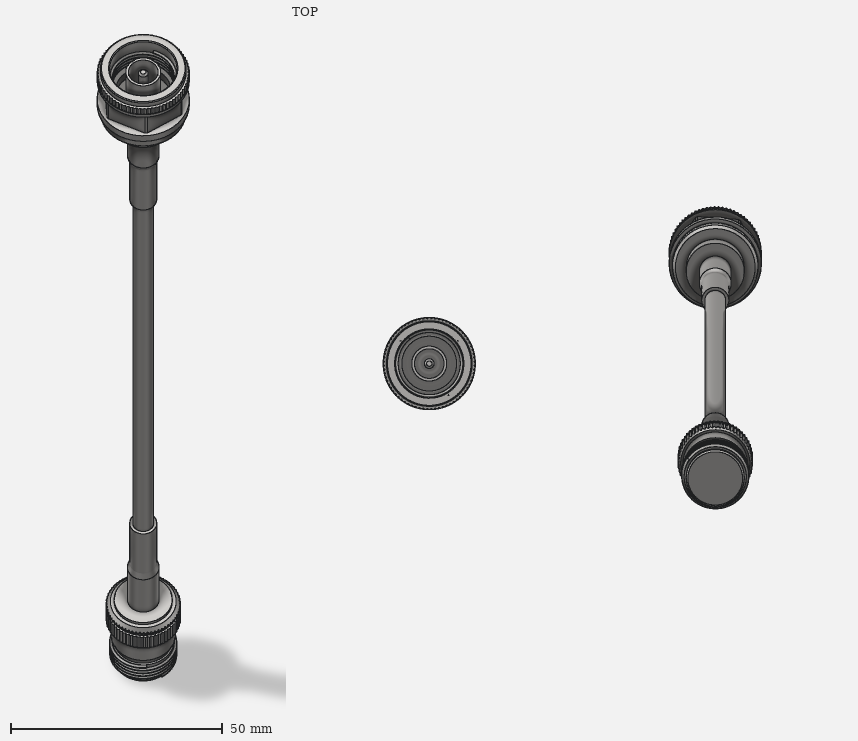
import cadquery as cq
import math

overall_length = 232.49
top_z = overall_length / 2
bottom_z = -overall_length / 2

cable_dia = 4.95

ferrule_dia = 6.4
ferrule_length = 15.6
sleeve_dia = 7.52
sleeve_taper_length = 1.7
collar_dia = 13.72

thread_dia = 15.88
thread_pitch = 25.4 / 24
thread_depth = 0.6
thread_overlap = 0.2
thread_base_width = 0.84 * thread_pitch
thread_crest_width = 0.25

plug_lip_dia = 20.23
plug_ring_dia = 21.78
plug_groove_dia = 19.6
plug_lip_chamfer = 0.25
plug_lip_depth = 1.7
plug_knurl_depth = 3.8
plug_ring_depth = 4.8
plug_hex_depth = 12.1
plug_flange_depth = 14.3
plug_groove_depth = 14.9
plug_skirt_depth = 17.9
plug_collar_depth = 22.1
plug_sleeve_depth = 34.3
plug_skirt_chamfer = 0.7
hex_across_flats = 17.8

nut_thread_start = 3.0
nut_thread_end = 8.5
nut_liner_dia = 17.0
cavity_dia = 12.95
cavity_depth = 11.0
contact_outer_dia = 8.26
contact_inner_dia = 6.99
contact_recess = 1.5
pin_dia = 2.29
pin_tip_dia = 1.27

jack_tip_dia = 13.72
jack_tip_chamfer = 0.4
jack_thread_start = 1.3
jack_thread_end = 7.4
jack_relief_height = 9.5
jack_body_dia = 15.21
jack_body_height = 15.3
jack_knurl_dia = 17.7
jack_grip_chamfer = 0.7
jack_grip_height = 20.1
jack_groove_dia = 16.4
jack_groove_height = 21.2
jack_rim_height = 22.6
jack_rim_chamfer = 1.1
jack_collar_height = 23.4
jack_sleeve_height = 36.1

knurl_depth = 0.3
trim_clearance = 0.04
plug_knurl_count = 72
jack_knurl_count = 60


def disc(diameter, z_low, z_high):
    """Cylinder on the Z axis between two heights."""
    return cq.Workplane("XY").workplane(offset=z_low).circle(diameter / 2).extrude(z_high - z_low)


def knurled_disc(diameter, tooth_count, z_low, z_high):
    """Straight-knurled cylinder with V-shaped teeth."""
    step = 2 * math.pi / tooth_count
    points = []
    for tooth in range(tooth_count):
        for radius, angle in (
            (diameter / 2, tooth * step),
            (diameter / 2 - knurl_depth, (tooth + 0.5) * step),
        ):
            points.append((radius * math.cos(angle), radius * math.sin(angle)))
    return cq.Workplane("XY").workplane(offset=z_low).polyline(points).close().extrude(z_high - z_low)


def cone(dia_low, dia_high, z_low, z_high):
    """Cone frustum on the Z axis between two heights."""
    profile = [(0, z_low), (dia_low / 2, z_low), (dia_high / 2, z_high), (0, z_high)]
    return cq.Workplane("XZ").polyline(profile).close().revolve(360, (0, 0, 0), (0, 1, 0))


def make_thread_ridge(base_radius, crest_radius, z_low, z_high):
    """Helical ridge with a trapezoidal section; a crest radius below the base radius makes it internal."""
    half_base = thread_base_width / 2
    half_crest = thread_crest_width / 2
    start = z_low + half_base
    rise = z_high - z_low - thread_base_width
    path = cq.Wire.makeHelix(thread_pitch, rise, crest_radius, cq.Vector(0, 0, start))
    section = [
        (base_radius, start - half_base),
        (crest_radius, start - half_crest),
        (crest_radius, start + half_crest),
        (base_radius, start + half_base),
    ]
    return cq.Workplane("XZ").polyline(section).close().sweep(cq.Workplane(obj=path), isFrenet=True)


def make_nut_thread(z_low, z_high):
    """Ring of the nut wall that carries the internal thread."""
    base_radius = thread_dia / 2
    ring = disc(nut_liner_dia, z_low, z_high).cut(disc(thread_dia, z_low, z_high))
    ridge = make_thread_ridge(base_radius + thread_overlap, base_radius - thread_depth, z_low, z_high)
    return ring.union(ridge)


def make_plug():
    def level(depth):
        return top_z - depth

    sleeve_end = level(plug_sleeve_depth)
    ferrule_top = sleeve_end - sleeve_taper_length

    plug = disc(plug_lip_dia, level(plug_lip_depth), top_z).faces(">Z").chamfer(plug_lip_chamfer)
    knurl_low = level(plug_knurl_depth)
    knurl_high = level(plug_lip_depth)
    plug = plug.union(knurled_disc(plug_ring_dia, plug_knurl_count, knurl_low, knurl_high))
    plug = plug.union(disc(plug_ring_dia, level(plug_ring_depth), knurl_low))
    hex_height = plug_hex_depth - plug_ring_depth
    hexagon = (
        cq.Workplane("XY")
        .workplane(offset=level(plug_hex_depth))
        .polygon(6, hex_across_flats, circumscribed=True)
        .extrude(hex_height)
    )
    hex_limit = disc(plug_lip_dia, level(plug_hex_depth), level(plug_ring_depth))
    plug = plug.union(hexagon.intersect(hex_limit))
    plug = plug.union(disc(plug_ring_dia, level(plug_flange_depth), level(plug_hex_depth)))
    plug = plug.union(disc(plug_groove_dia, level(plug_groove_depth), level(plug_flange_depth)))
    skirt = disc(plug_lip_dia, level(plug_skirt_depth), level(plug_groove_depth))
    plug = plug.union(skirt.faces("<Z").chamfer(plug_skirt_chamfer))

    plug = plug.union(disc(collar_dia, level(plug_collar_depth), level(plug_skirt_depth)))
    plug = plug.union(disc(sleeve_dia, sleeve_end, level(plug_collar_depth)))
    plug = plug.union(cone(ferrule_dia, sleeve_dia, ferrule_top, sleeve_end))
    plug = plug.union(disc(ferrule_dia, ferrule_top - ferrule_length, ferrule_top))

    floor = level(cavity_depth)
    thread_low = level(nut_thread_end)
    thread_high = level(nut_thread_start)
    mouth_dia = thread_dia + 2 * plug_lip_chamfer
    plug = plug.cut(disc(cavity_dia, floor, thread_low))
    plug = plug.cut(disc(thread_dia, thread_high, top_z))
    plug = plug.cut(cone(thread_dia, mouth_dia, top_z - plug_lip_chamfer, top_z))
    plug = plug.cut(disc(nut_liner_dia, thread_low, thread_high))
    plug = plug.union(make_nut_thread(thread_low, thread_high))

    contact_top = level(contact_recess)
    contact = disc(contact_outer_dia, floor, contact_top)
    contact = contact.cut(disc(contact_inner_dia, floor, contact_top))
    pin = disc(pin_dia, floor, contact_top).faces(">Z").chamfer((pin_dia - pin_tip_dia) / 2)
    return plug.union(contact).union(pin)


def bevelled_blank(face, chamfer, z_low, z_high):
    """Disc just larger than the jack knurl, chamfered on one face, that trims the ends of the teeth."""
    blank = disc(jack_knurl_dia + trim_clearance, z_low, z_high)
    return blank.faces(face).chamfer(chamfer)


def make_jack():
    def level(height):
        return bottom_z + height

    sleeve_end = level(jack_sleeve_height)
    ferrule_bottom = sleeve_end + sleeve_taper_length

    thread_low = level(jack_thread_start)
    thread_high = level(jack_thread_end)
    root_radius = thread_dia / 2 - thread_depth
    threaded = disc(2 * root_radius, thread_low, thread_high)
    threaded = threaded.union(
        make_thread_ridge(root_radius - thread_overlap, thread_dia / 2, thread_low, thread_high)
    )
    tip = disc(jack_tip_dia, bottom_z, level(jack_relief_height)).faces("<Z").chamfer(jack_tip_chamfer)
    jack = tip.union(threaded)
    jack = jack.union(disc(jack_body_dia, level(jack_relief_height), level(jack_body_height)))

    grip_low = level(jack_body_height)
    grip_high = level(jack_grip_height)
    grip = knurled_disc(jack_knurl_dia, jack_knurl_count, grip_low, grip_high)
    grip = grip.intersect(bevelled_blank("<Z", jack_grip_chamfer, grip_low, grip_high))
    rim_low = level(jack_groove_height)
    rim_high = level(jack_rim_height)
    rim = knurled_disc(jack_knurl_dia, jack_knurl_count, rim_low, rim_high)
    rim = rim.intersect(bevelled_blank(">Z", jack_rim_chamfer, rim_low, rim_high))
    jack = jack.union(grip).union(disc(jack_groove_dia, grip_high, rim_low)).union(rim)

    jack = jack.union(disc(collar_dia, level(jack_rim_height), level(jack_collar_height)))
    jack = jack.union(disc(sleeve_dia, level(jack_collar_height), sleeve_end))
    jack = jack.union(cone(sleeve_dia, ferrule_dia, sleeve_end, ferrule_bottom))
    return jack.union(disc(ferrule_dia, ferrule_bottom, ferrule_bottom + ferrule_length))


def make_cable():
    """Cable that runs from one crimp ferrule to the other."""
    crimp_length = sleeve_taper_length + ferrule_length
    cable_top = top_z - plug_sleeve_depth - crimp_length
    cable_bottom = bottom_z + jack_sleeve_height + crimp_length
    return disc(cable_dia, cable_bottom, cable_top)


plug = make_plug()
jack = make_jack()
cable = make_cable()

result = cq.Compound.makeCompound([plug.val(), jack.val(), cable.val()])